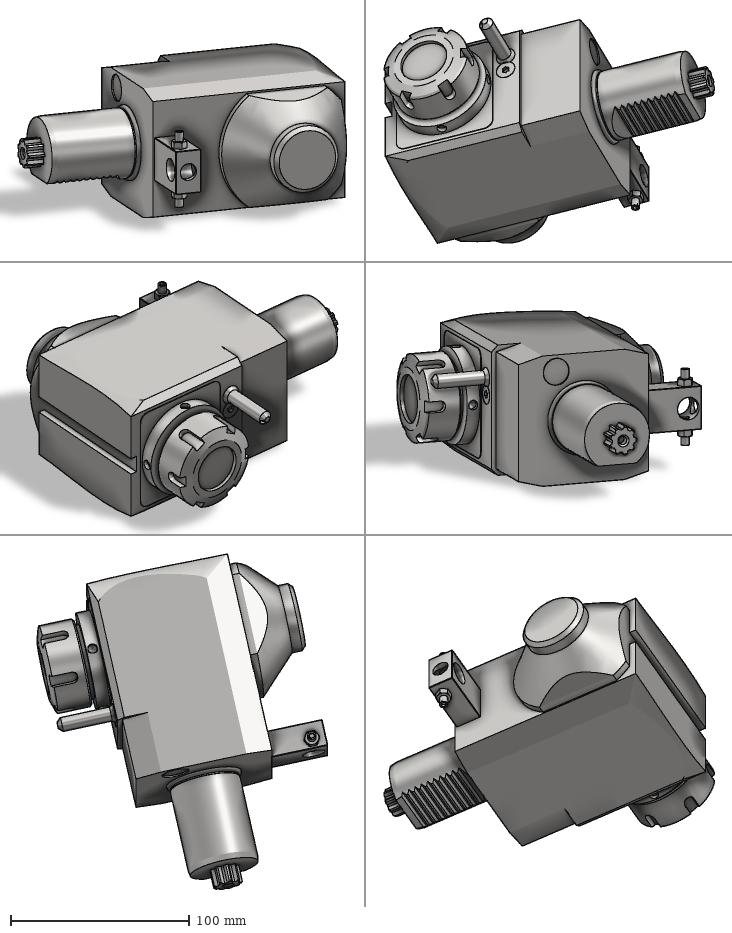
import cadquery as cq
import math


OVERALL_LENGTH = 179.0

BACK_Y = 116.0
STEP_Y = 35.3
HALF_WIDTH = 39.0
HALF_HEIGHT = 75.0 / 2
SHOULDER_Z = 33.7
TOP_HALF_WIDTH = 24.5
HEAD_FACE_X = -41.9
HEAD_TOP_X = -38.0
NOTCH_WIDTH = 10.4
NOTCH_DEPTH = 4.0
PLUG_X = -16.3
PLUG_Z = 27.7
PLUG_RADIUS = 7.7
PLUG_RECESS = 0.9

CROWN_START_Y = 103.6
CROWN_CLEARANCE = 3.5
CROWN_BACK_POINTS = [(-14.3, 36.5), (9.5, 35.5)]

SPINDLE_Y = 80.2
NOSE_X = -74.5
NUT_RADIUS = 25.2
NUT_REAR_X = -52.0
NUT_EDGE = 1.0
NUT_FACE_RADIUS = 17.9
NUT_CONE_RADIUS = 24.0
NUT_CONE_DEPTH = 2.0
NUT_BEVEL_DEPTH = 2.7
NUT_BORE_RADIUS = 13.8
NUT_BORE_DEPTH = 2.3
NUT_SLOT_COUNT = 6
NUT_SLOT_WIDTH = 6.5
NUT_SLOT_END_X = -62.0
LONG_SLOT_END_X = -57.6
LONG_SLOT_ANGLES = (30, 330)
NUT_SLOT_FLOOR_RADIUS = 21.7
NECK_RADIUS = 21.5
COLLAR_RADIUS = 28.0
COLLAR_FRONT_X = -50.0
COLLAR_HOLE_X = -46.4
COLLAR_HOLE_RADIUS = 2.7
COLLAR_HOLE_DEPTH = 2.7
COLLAR_HOLE_COUNT = 4
DRILL_POINT_ANGLE = 118

PLATE_LENGTH = 58.0
PLATE_HEIGHT = 63.4
PLATE_CORNER = 5.4
PLATE_THICKNESS = 0.4

NOZZLE_Y = 43.5
NOZZLE_Z = 17.5
NOZZLE_RADIUS = 8.0 / 2
NOZZLE_TIP_RADIUS = 1.8
NOZZLE_TIP_LENGTH = 2.3
NOZZLE_SEAT_RADIUS = 5.5
NOZZLE_SEAT_HEIGHT = 2.1
OUTLET_RADIUS = 1.5
OUTLET_DEPTH = 1.8
SCREW_Z = 7.7
SCREW_HEAD_RISE = 0.2
SOCKET_DIAMETER = 4.3
SOCKET_DEPTH = 1.8

COVER_RADIUS = 40.3
COVER_RIM_X = 43.1
BOSS_RADIUS = 19.3
END_X = 72.1
BOSS_CHAMFER = 2.3
COVER_BACK_Y = 112.0
COVER_HALF_HEIGHT = 32.5
COVER_SLOPE = 15.0

SHANK_RADIUS = 20.0
SHANK_LENGTH = 53.0
SHANK_TAPER_LENGTH = 3.2
SHANK_END_RADIUS = 19.5
FLANGE_RADIUS = 21.5
FLANGE_LENGTH = 2.1
FLANGE_ROUND = 1.8
RELIEF_RADIUS = 19.7
RELIEF_LENGTH = 0.9
FLAT_Z = -15.8
TOOTH_COUNT = 10
FIRST_TOOTH_Y = -11.5
LAST_TOOTH_Y = -47.5
TOOTH_PITCH = (FIRST_TOOTH_Y - LAST_TOOTH_Y) / (TOOTH_COUNT - 1)
TOOTH_DEPTH = 1.5

SPLINE_END_Y = BACK_Y - OVERALL_LENGTH
SPLINE_TEETH = 9
SPLINE_RADIUS = 8.5
SPLINE_ROOT_RADIUS = 6.6
SPLINE_CHAMFER = 0.7
TIP_SHARE = 0.1
ROOT_SHARE = 0.35
CENTRE_RADIUS = 2.3
CENTRE_MOUTH_RADIUS = 3.4
CENTRE_DEPTH = 5.4

BRACKET_END_X = 71.5
BRACKET_FRONT_Y = 1.0
BRACKET_BACK_Y = 16.3
BRACKET_HALF_HEIGHT = 12.5
BRACKET_EDGE = 0.4
BRACKET_HOLE_X = 63.4
BRACKET_HOLE_RADIUS = 6.5
END_HOLE_RADIUS = 4.8
STUD_Y = 6.3
STUD_RADIUS = 2.3
STUD_TOP_Z = 21.8
STUD_BOTTOM_Z = 7.3
STUD_SOCKET_DIAMETER = 3.2
NUT_TOP_Z = 16.5
HEX_NUT_DIAMETER = 9.0
HEX_NUT_CHAMFER = 0.5


def both_sides(solid):
    """Join a solid with its mirror image in the plane Z = 0."""
    return solid.union(solid.mirror("XY"))


def along_x(x, y, z=0):
    """Workplane across X at a point, with local x along +Y and local y along +Z."""
    return cq.Workplane("YZ", origin=(x, y, z))


def along_y(y, x=0, z=0):
    """Workplane across Y at a point, with local x along +X and its normal toward -Y."""
    return cq.Workplane("XZ", origin=(x, y, z))


def turned_about_spindle(outline):
    """Revolve a closed (x, radius) outline about the spindle axis."""
    profile = cq.Workplane("XY").polyline(outline).close()
    return profile.revolve(360, (0, 0, 0), (1, 0, 0)).translate((0, SPINDLE_Y, 0))


def turned_about_shank(outline):
    """Revolve a closed (radius, y) outline about the shank axis."""
    return cq.Workplane("XY").polyline(outline).close().revolve(360, (0, 0, 0), (0, 1, 0))


def crown_section(y, left_x, right_x, edge_z):
    """Closed wire over the crown: curved below, straight above the housing."""
    clear_z = 2 * HALF_HEIGHT - SHOULDER_Z + CROWN_CLEARANCE
    rise = edge_z - SHOULDER_Z
    crest = [(x, z + rise) for x, z in CROWN_BACK_POINTS]
    return (
        along_y(y)
        .moveTo(left_x, edge_z)
        .spline(crest + [(right_x, edge_z)], includeCurrent=True)
        .lineTo(right_x, clear_z)
        .lineTo(left_x, clear_z)
        .close()
        .wires()
        .val()
    )


def housing():
    right_side = [
        (TOP_HALF_WIDTH, HALF_HEIGHT),
        (HALF_WIDTH, SHOULDER_Z),
        (HALF_WIDTH, -SHOULDER_Z),
        (TOP_HALF_WIDTH, -HALF_HEIGHT),
    ]
    shank_left = [(-x, z) for x, z in reversed(right_side)]
    head_left = [
        (HEAD_TOP_X, -HALF_HEIGHT),
        (HEAD_FACE_X, -SHOULDER_Z),
        (HEAD_FACE_X, SHOULDER_Z),
        (HEAD_TOP_X, HALF_HEIGHT),
    ]
    shank_end = along_y(STEP_Y).polyline(right_side + shank_left).close().extrude(STEP_Y)
    head = along_y(BACK_Y).polyline(right_side + head_left).close().extrude(BACK_Y - STEP_Y)

    back_section = crown_section(BACK_Y, HEAD_FACE_X, HALF_WIDTH, SHOULDER_Z)
    start_section = crown_section(CROWN_START_Y, HEAD_TOP_X, TOP_HALF_WIDTH, HALF_HEIGHT)
    crown_cut = cq.Workplane(cq.Solid.makeLoft([back_section, start_section], True))
    notch = cq.Workplane("XY").box(4 * HALF_WIDTH, 2 * NOTCH_DEPTH, NOTCH_WIDTH)
    plug = along_y(PLUG_RECESS, PLUG_X, PLUG_Z).circle(PLUG_RADIUS).extrude(PLUG_RECESS)
    body = shank_end.union(head).cut(both_sides(crown_cut))
    return body.cut(notch.translate((0, BACK_Y, 0))).cut(plug)


def cover_plate():
    return (
        along_x(HEAD_FACE_X, SPINDLE_Y)
        .rect(PLATE_LENGTH, PLATE_HEIGHT)
        .extrude(-PLATE_THICKNESS)
        .edges("|X")
        .fillet(PLATE_CORNER)
    )


def spindle_nose():
    nose = turned_about_spindle([
        (HEAD_FACE_X, 0),
        (HEAD_FACE_X, COLLAR_RADIUS),
        (COLLAR_FRONT_X, COLLAR_RADIUS),
        (COLLAR_FRONT_X, NECK_RADIUS),
        (NUT_REAR_X, NECK_RADIUS),
        (NUT_REAR_X, NUT_RADIUS - NUT_EDGE),
        (NUT_REAR_X - NUT_EDGE, NUT_RADIUS),
        (NOSE_X + NUT_BEVEL_DEPTH, NUT_RADIUS),
        (NOSE_X + NUT_CONE_DEPTH, NUT_CONE_RADIUS),
        (NOSE_X, NUT_FACE_RADIUS),
        (NOSE_X, NUT_BORE_RADIUS),
        (NOSE_X + NUT_BORE_DEPTH, NUT_BORE_RADIUS),
        (NOSE_X + NUT_BORE_DEPTH, 0),
    ])
    for i in range(NUT_SLOT_COUNT):
        angle = (i + 0.5) * 360 / NUT_SLOT_COUNT
        end_x = LONG_SLOT_END_X if angle in LONG_SLOT_ANGLES else NUT_SLOT_END_X
        slot = (
            cq.Workplane("XY", origin=(NOSE_X, 0, NUT_SLOT_FLOOR_RADIUS))
            .slot2D(2 * (end_x - NOSE_X), NUT_SLOT_WIDTH)
            .extrude(NUT_RADIUS)
        )
        nose = nose.cut(slot.rotate((0, 0, 0), (1, 0, 0), angle).translate((0, SPINDLE_Y, 0)))

    point_length = COLLAR_HOLE_RADIUS / math.tan(math.radians(DRILL_POINT_ANGLE / 2))
    hole = (
        cq.Workplane("XZ")
        .polyline([
            (0, COLLAR_RADIUS - COLLAR_HOLE_DEPTH - point_length),
            (COLLAR_HOLE_RADIUS, COLLAR_RADIUS - COLLAR_HOLE_DEPTH),
            (COLLAR_HOLE_RADIUS, COLLAR_RADIUS + COLLAR_HOLE_DEPTH),
            (0, COLLAR_RADIUS + COLLAR_HOLE_DEPTH),
        ])
        .close()
        .revolve(360, (0, 0, 0), (0, 1, 0))
        .translate((COLLAR_HOLE_X, 0, 0))
    )
    for i in range(COLLAR_HOLE_COUNT):
        angle = i * 360 / COLLAR_HOLE_COUNT
        nose = nose.cut(hole.rotate((0, 0, 0), (1, 0, 0), angle).translate((0, SPINDLE_Y, 0)))
    return nose


def nozzle():
    axis = along_x(HEAD_FACE_X, NOZZLE_Y, NOZZLE_Z)
    pin = axis.circle(NOZZLE_RADIUS).extrude(NOSE_X - HEAD_FACE_X)
    bevel = NOZZLE_RADIUS - NOZZLE_TIP_RADIUS
    pin = pin.faces("<X").chamfer(NOZZLE_TIP_LENGTH, bevel)

    seat_base = cq.Vector(HEAD_FACE_X, NOZZLE_Y, NOZZLE_Z)
    seat = cq.Workplane(
        cq.Solid.makeCone(
            NOZZLE_SEAT_RADIUS, NOZZLE_RADIUS, NOZZLE_SEAT_HEIGHT, seat_base, cq.Vector(-1, 0, 0)
        )
    )
    trim_size = 4 * NOZZLE_SEAT_RADIUS
    trim_z = (NOZZLE_Z + SCREW_Z - trim_size) / 2
    trim = cq.Workplane("XY").box(trim_size, trim_size, trim_size)
    seat = seat.cut(trim.translate((HEAD_FACE_X, NOZZLE_Y, trim_z)))

    toward_spindle = cq.Vector(0, SPINDLE_Y - NOZZLE_Y, -NOZZLE_Z).normalized()
    inward = cq.Vector(1, 0, 0) - toward_spindle
    bevel_centre = cq.Vector(NOSE_X + NOZZLE_TIP_LENGTH / 2, NOZZLE_Y, NOZZLE_Z)
    bevel_centre += toward_spindle * (NOZZLE_TIP_RADIUS + bevel / 2)
    outlet = cq.Workplane(
        cq.Solid.makeCylinder(
            OUTLET_RADIUS,
            2 * OUTLET_DEPTH,
            bevel_centre - inward.normalized() * OUTLET_DEPTH,
            inward,
        )
    )
    return pin.cut(outlet).union(seat)


def plug_screw_head():
    face = along_x(HEAD_FACE_X, NOZZLE_Y, SCREW_Z)
    return face.circle(NOZZLE_SEAT_RADIUS).extrude(-SCREW_HEAD_RISE)


def plug_screw_socket():
    start = along_x(HEAD_FACE_X - SCREW_HEAD_RISE, NOZZLE_Y, SCREW_Z)
    socket = start.polygon(6, SOCKET_DIAMETER).extrude(SOCKET_DEPTH)
    return socket.rotate((0, NOZZLE_Y, SCREW_Z), (1, NOZZLE_Y, SCREW_Z), 90)


def rear_cover():
    cone_end_x = COVER_RIM_X + COVER_RADIUS - BOSS_RADIUS
    cover = turned_about_spindle([
        (HALF_WIDTH, 0),
        (HALF_WIDTH, COVER_RADIUS),
        (COVER_RIM_X, COVER_RADIUS),
        (cone_end_x, BOSS_RADIUS),
        (END_X - BOSS_CHAMFER, BOSS_RADIUS),
        (END_X, BOSS_RADIUS - BOSS_CHAMFER),
        (END_X, 0),
    ])
    drop = (END_X - COVER_RIM_X) * math.tan(math.radians(COVER_SLOPE))
    limit = (
        along_y(COVER_BACK_Y)
        .polyline([
            (HALF_WIDTH, -COVER_HALF_HEIGHT),
            (COVER_RIM_X, -COVER_HALF_HEIGHT),
            (END_X, drop - COVER_HALF_HEIGHT),
            (END_X, COVER_HALF_HEIGHT - drop),
            (COVER_RIM_X, COVER_HALF_HEIGHT),
            (HALF_WIDTH, COVER_HALF_HEIGHT),
        ])
        .close()
        .extrude(2 * COVER_RADIUS)
    )
    return cover.intersect(limit)


def shank():
    flange = cq.Workplane("XZ").circle(FLANGE_RADIUS).extrude(FLANGE_LENGTH)
    flange = flange.faces("<Y").edges().fillet(FLANGE_ROUND)
    relief_end = -FLANGE_LENGTH - RELIEF_LENGTH
    barrel = turned_about_shank([
        (0, 0),
        (RELIEF_RADIUS, 0),
        (RELIEF_RADIUS, relief_end),
        (SHANK_RADIUS, relief_end),
        (SHANK_RADIUS, SHANK_TAPER_LENGTH - SHANK_LENGTH),
        (SHANK_END_RADIUS, -SHANK_LENGTH),
        (0, -SHANK_LENGTH),
    ])

    cut_depth = FLANGE_RADIUS + FLAT_Z
    outline = [(FIRST_TOOTH_Y + TOOTH_DEPTH + cut_depth, FLAT_Z - cut_depth)]
    for i in range(TOOTH_COUNT):
        y = FIRST_TOOTH_Y - i * TOOTH_PITCH
        outline += [(y + TOOTH_DEPTH, FLAT_Z), (y, FLAT_Z + TOOTH_DEPTH), (y - TOOTH_DEPTH, FLAT_Z)]
    outline += [(-SHANK_LENGTH, FLAT_Z), (-SHANK_LENGTH, FLAT_Z - cut_depth)]
    rack = along_x(-FLANGE_RADIUS, 0).polyline(outline).close().extrude(2 * FLANGE_RADIUS)
    return flange.union(barrel.cut(rack))


def drive_spline():
    outline = []
    tooth_angle = 2 * math.pi / SPLINE_TEETH
    corners = [
        (-ROOT_SHARE, SPLINE_ROOT_RADIUS),
        (-TIP_SHARE, SPLINE_RADIUS),
        (TIP_SHARE, SPLINE_RADIUS),
        (ROOT_SHARE, SPLINE_ROOT_RADIUS),
    ]
    for i in range(SPLINE_TEETH):
        for offset, radius in corners:
            angle = (i + offset) * tooth_angle
            outline.append((radius * math.cos(angle), radius * math.sin(angle)))
    length = -SHANK_LENGTH - SPLINE_END_Y
    toothed = along_y(-SHANK_LENGTH).polyline(outline).close().extrude(length)
    envelope = along_y(-SHANK_LENGTH).circle(SPLINE_RADIUS).extrude(length)
    envelope = envelope.faces("<Y").chamfer(SPLINE_CHAMFER)
    mouth_depth = CENTRE_MOUTH_RADIUS - CENTRE_RADIUS
    centre = turned_about_shank([
        (0, SPLINE_END_Y),
        (CENTRE_MOUTH_RADIUS, SPLINE_END_Y),
        (CENTRE_RADIUS, SPLINE_END_Y + mouth_depth),
        (CENTRE_RADIUS, SPLINE_END_Y + CENTRE_DEPTH),
        (0, SPLINE_END_Y + CENTRE_DEPTH),
    ])
    return toothed.intersect(envelope).cut(centre)


def bracket():
    block = (
        along_y(BRACKET_BACK_Y)
        .moveTo((HALF_WIDTH + BRACKET_END_X) / 2, 0)
        .rect(BRACKET_END_X - HALF_WIDTH, 2 * BRACKET_HALF_HEIGHT)
        .extrude(BRACKET_BACK_Y - BRACKET_FRONT_Y)
        .faces(">X or >Z or <Z")
        .edges("not <X")
        .chamfer(BRACKET_EDGE)
    )
    hole = along_y(BRACKET_BACK_Y, BRACKET_HOLE_X).circle(BRACKET_HOLE_RADIUS)
    block = block.cut(hole.extrude(BRACKET_BACK_Y))
    end_hole = along_x(BRACKET_HOLE_X, (BRACKET_FRONT_Y + BRACKET_BACK_Y) / 2)
    block = block.cut(end_hole.circle(END_HOLE_RADIUS).extrude(BRACKET_END_X - BRACKET_HOLE_X))
    stud_bore = cq.Workplane("XY", origin=(BRACKET_HOLE_X, STUD_Y, 0)).circle(STUD_RADIUS)
    block = block.cut(stud_bore.extrude(STUD_BOTTOM_Z, both=True))

    seat = cq.Workplane("XY", origin=(BRACKET_HOLE_X, STUD_Y, BRACKET_HALF_HEIGHT))
    nut_height = NUT_TOP_Z - BRACKET_HALF_HEIGHT
    blank = seat.circle(HEX_NUT_DIAMETER / 2).extrude(nut_height)
    blank = blank.faces(">Z").chamfer(HEX_NUT_CHAMFER)
    nut = seat.polygon(6, HEX_NUT_DIAMETER).extrude(nut_height).intersect(blank)
    stud = seat.circle(STUD_RADIUS).extrude(STUD_TOP_Z - BRACKET_HALF_HEIGHT)
    stud = stud.faces(">Z").workplane().polygon(6, STUD_SOCKET_DIAMETER).cutBlind(-SOCKET_DEPTH)
    return block.union(both_sides(nut.union(stud)))


result = (
    housing()
    .union(cover_plate())
    .union(spindle_nose())
    .union(nozzle())
    .union(plug_screw_head())
    .cut(plug_screw_socket())
    .union(rear_cover())
    .union(shank())
    .union(drive_spline())
    .union(bracket())
)